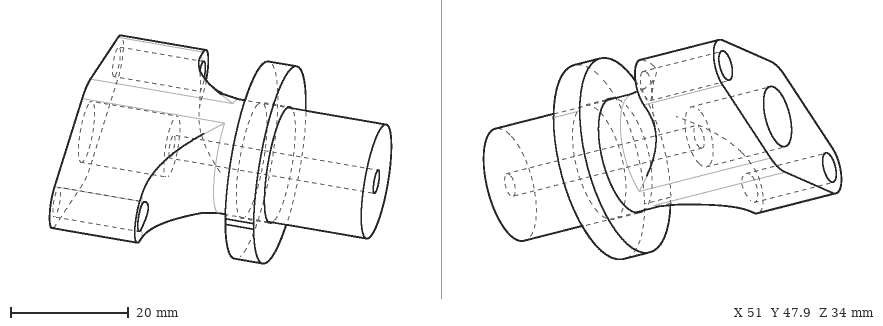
import cadquery as cq
import math

length = 51.0
shaft_radius = 19.7 / 2
arm_thickness = 15.0
arm_span = 47.9
arm_end_radius = 4.55
arm_center = arm_span / 2 - arm_end_radius
flare_radius = 10.0
flare_end = arm_thickness + flare_radius

bolt_diameter = 5.1
bore_diameter = 10.5
bore_depth = arm_thickness
through_diameter = 4.0

ring_diameter = 34.0
ring_bore_diameter = 20.0
ring_thickness = 5.0
ring_start = 29.0
groove_radius = 2.0
groove_width = 1.2


def flange_prism(depth):
    """Arms with sides tangent to the shaft circle and the arm ends; the shaft rounds the middle."""
    sine = (shaft_radius - arm_end_radius) / arm_center
    cosine = math.sqrt(1 - sine**2)
    hub_y = shaft_radius * sine
    hub_z = shaft_radius * cosine
    end_y = arm_center + arm_end_radius * sine
    end_z = arm_end_radius * cosine
    return (
        cq.Workplane("YZ")
        .moveTo(-hub_y, hub_z)
        .lineTo(hub_y, hub_z)
        .lineTo(end_y, end_z)
        .threePointArc((arm_span / 2, 0), (end_y, -end_z))
        .lineTo(hub_y, -hub_z)
        .lineTo(-hub_y, -hub_z)
        .lineTo(-end_y, -end_z)
        .threePointArc((-arm_span / 2, 0), (-end_y, end_z))
        .close()
        .extrude(depth)
    )


def flared_envelope():
    """Turned shape that blends the back of the arms into the shaft with a concave arc."""
    flare_center_y = shaft_radius + flare_radius
    arc_offset = flare_radius * math.sqrt(0.5)
    return (
        cq.Workplane("XY")
        .lineTo(0, arm_span)
        .lineTo(arm_thickness, arm_span)
        .lineTo(arm_thickness, flare_center_y)
        .threePointArc(
            (flare_end - arc_offset, flare_center_y - arc_offset),
            (flare_end, shaft_radius),
        )
        .lineTo(flare_end, 0)
        .close()
        .revolve(360, (0, 0, 0), (1, 0, 0))
    )


def make_housing():
    flange = flange_prism(flare_end).intersect(flared_envelope())
    shaft = cq.Workplane("YZ").circle(shaft_radius).extrude(length)
    bolt_holes = (
        cq.Workplane("YZ")
        .pushPoints([(-arm_center, 0), (arm_center, 0)])
        .circle(bolt_diameter / 2)
        .extrude(flare_end)
    )
    bore = cq.Workplane("YZ").circle(bore_diameter / 2).extrude(bore_depth)
    through_hole = cq.Workplane("YZ").circle(through_diameter / 2).extrude(length)
    return shaft.union(flange).cut(bolt_holes).cut(bore).cut(through_hole)


def make_ring():
    """Plain ring with one shallow round groove along its -Y rim."""
    ring_plane = cq.Workplane("YZ", origin=(ring_start, 0, 0))
    ring = ring_plane.circle(ring_diameter / 2).circle(ring_bore_diameter / 2).extrude(ring_thickness)
    half_width = groove_width / 2
    rim_edge_y = math.sqrt((ring_diameter / 2) ** 2 - half_width**2)
    groove_center_y = rim_edge_y + math.sqrt(groove_radius**2 - half_width**2)
    groove = ring_plane.center(-groove_center_y, 0).circle(groove_radius).extrude(ring_thickness)
    return ring.cut(groove)


housing = make_housing()
ring = make_ring()
result = cq.Compound.makeCompound([*housing.solids().vals(), *ring.solids().vals()])